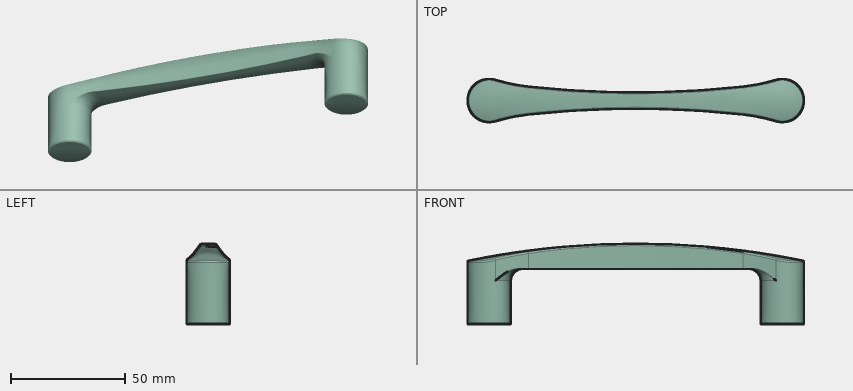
import cadquery as cq
import math

post_spacing = 128.0
post_diameter = 19.0
total_height = 35.47
underside_height = 24.3
crest_radius = 360.0
crown_radius = 30.0
waist_width = 7.2
waist_radius = 430.0
neck_radius = 80.0
root_fillet = 5.0
top_edge_fillet = 0.8
underside_edge_fillet = 0.3
foot_chamfer = 0.5

post_radius = post_diameter / 2
post_x = post_spacing / 2
overall_length = post_spacing + post_diameter


def point_on_circle(center, radius, direction):
    """Point at the given radius from center, along a direction vector."""
    length = math.hypot(*direction)
    return (center[0] + radius * direction[0] / length, center[1] + radius * direction[1] / length)


def circle_crossing(center_a, radius_a, center_b, radius_b):
    """Crossing of two circles that lies to the right of the way from a to b."""
    dx = center_b[0] - center_a[0]
    dy = center_b[1] - center_a[1]
    distance = math.hypot(dx, dy)
    along = (distance**2 + radius_a**2 - radius_b**2) / (2 * distance)
    across = math.sqrt(radius_a**2 - along**2)
    return (
        center_a[0] + (along * dx + across * dy) / distance,
        center_a[1] + (along * dy - across * dx) / distance,
    )


def neck_arc_points():
    """Post end, middle and waist end of the neck arc in the +X +Y quarter."""
    post_center = (post_x, 0)
    waist_center = (0, waist_width / 2 + waist_radius)
    neck_center = circle_crossing(
        waist_center, waist_radius - neck_radius, post_center, post_radius + neck_radius
    )
    to_neck = (neck_center[0] - post_center[0], neck_center[1] - post_center[1])
    from_waist = (neck_center[0] - waist_center[0], neck_center[1] - waist_center[1])
    post_end = point_on_circle(post_center, post_radius, to_neck)
    waist_end = point_on_circle(waist_center, waist_radius, from_waist)
    chord_mid = ((post_end[0] + waist_end[0]) / 2, (post_end[1] + waist_end[1]) / 2)
    to_chord = (chord_mid[0] - neck_center[0], chord_mid[1] - neck_center[1])
    neck_mid = point_on_circle(neck_center, neck_radius, to_chord)
    return post_end, neck_mid, waist_end


def plan_outline():
    """Dog-bone outline of the whole handle: round ends joined by tangent concave arcs."""
    waist_y = waist_width / 2
    post_end, neck_mid, waist_end = neck_arc_points()

    def corner(point, side_x, side_y):
        return (side_x * point[0], side_y * point[1])

    outline = cq.Workplane("XY").moveTo(*corner(waist_end, -1, 1))
    for side in (1, -1):
        outline = (
            outline.threePointArc((0, side * waist_y), corner(waist_end, side, side))
            .threePointArc(corner(neck_mid, side, side), corner(post_end, side, side))
            .threePointArc((side * overall_length / 2, 0), corner(post_end, side, -side))
            .threePointArc(corner(neck_mid, side, -side), corner(waist_end, side, -side))
        )
    return outline.close()


def crowned_envelope():
    """Ring-shaped solid whose outer face is the doubly curved top of the handle."""
    half_width = post_diameter
    inner_z = -total_height
    rim_z = total_height - crown_radius + math.sqrt(crown_radius**2 - half_width**2)
    axis_z = total_height - crest_radius
    return (
        cq.Workplane("YZ")
        .moveTo(-half_width, inner_z)
        .lineTo(-half_width, rim_z)
        .threePointArc((0, total_height), (half_width, rim_z))
        .lineTo(half_width, inner_z)
        .close()
        .revolve(360, (0, axis_z), (1, axis_z))
    )


def flared_post():
    """Round post on the +X side whose top flares out to meet the grip underside."""
    root_start = underside_height - root_fillet
    flare_radius = post_radius + root_fillet
    bend = root_fillet * (1 - math.sqrt(0.5))
    return (
        cq.Workplane("XZ")
        .lineTo(post_radius, 0)
        .lineTo(post_radius, root_start)
        .threePointArc((post_radius + bend, underside_height - bend), (flare_radius, underside_height))
        .lineTo(0, underside_height)
        .close()
        .revolve(360, (0, 0), (0, 1))
        .translate((post_x, 0, 0))
    )


def hand_clearance():
    """Open space under the grip, bounded by the inner sides of the flared posts."""
    post_end, _, _ = neck_arc_points()
    space = cq.Workplane("XY").rect(2 * post_end[0], 2 * post_diameter).extrude(underside_height)
    for turn in (0, 180):
        space = space.cut(flared_post().rotate((0, 0, 0), (0, 0, 1), turn))
    return space


def crowned_blank():
    """Full-height handle outline under the crowned top, with its top edge rounded."""
    blank = plan_outline().extrude(total_height).intersect(crowned_envelope())
    return blank.faces(">Z").edges().fillet(top_edge_fillet)


def chamfer_feet(body):
    """Chamfer the bottom rim of both posts."""
    return body.faces("<Z").edges().chamfer(foot_chamfer)


def round_underside(body):
    """Round the two long lower edges of the grip."""
    underside = body.faces(cq.selectors.NearestToPointSelector((0, 0, underside_height)))
    return underside.edges(">Y or <Y").fillet(underside_edge_fillet)


handle = crowned_blank().cut(hand_clearance()).clean()
result = round_underside(chamfer_feet(handle))